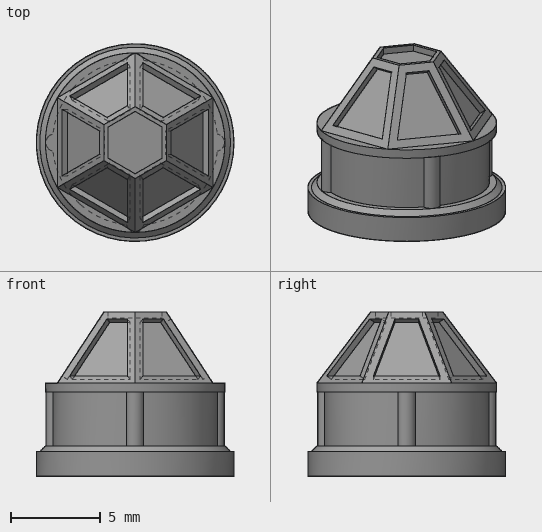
import cadquery as cq
import math

base_radius = 5.5
base_height = 1.4
base_chamfer_height = 0.3
base_rim_radius = 5.3
collar_radius = 4.99
body_radius = 4.6
body_height = 3.0
collar_height = 0.5

rib_count = 4
rib_radius = 0.48
rib_center_radius = 4.48

overall_height = 9.15
side_count = 6
crown_top_radius = 2.0
window_margin = 0.47
window_depth = 0.35
top_pocket_margin = 0.23
top_pocket_depth = 0.35

base_top = base_height + base_chamfer_height
collar_bottom = base_top + body_height
crown_bottom = collar_bottom + collar_height
crown_height = overall_height - crown_bottom
side_angle = 360 / side_count
apothem_ratio = math.cos(math.pi / side_count)


def hexagon(radius, height):
    """Closed hexagon with two corners on the Y axis."""
    return (
        cq.Workplane("XY", origin=(0, 0, height))
        .transformed(rotate=(0, 0, side_angle / 2))
        .polygon(side_count, 2 * radius)
    )


def round_core():
    """Base, chamfered shoulder, body and collar as one turned profile."""
    profile = [
        (0, 0),
        (base_radius, 0),
        (base_radius, base_height),
        (base_rim_radius, base_height),
        (collar_radius, base_top),
        (body_radius, base_top),
        (body_radius, collar_bottom),
        (collar_radius, collar_bottom),
        (collar_radius, crown_bottom),
        (0, crown_bottom),
    ]
    return cq.Workplane("XZ").polyline(profile).close().revolve(360, (0, 0, 0), (0, 1, 0))


def ribs():
    return (
        cq.Workplane("XY", origin=(0, 0, base_top))
        .polarArray(rib_center_radius, 0, 360, rib_count)
        .circle(rib_radius)
        .extrude(body_height)
    )


def crown():
    lower = hexagon(collar_radius, crown_bottom)
    return (
        lower.workplane(offset=crown_height)
        .polygon(side_count, 2 * crown_top_radius)
        .loft(ruled=True, combine=True)
    )


def window_cutter():
    """Trapezoid sunk square to the sloping face on the +X side."""
    lower_apothem = collar_radius * apothem_ratio
    upper_apothem = crown_top_radius * apothem_ratio
    run = lower_apothem - upper_apothem
    slant = math.hypot(run, crown_height)
    face = cq.Plane(
        origin=(lower_apothem, 0, crown_bottom),
        xDir=(0, 1, 0),
        normal=(crown_height, 0, run),
    )
    half_lower = collar_radius / 2
    half_upper = crown_top_radius / 2
    outline = [
        (-half_lower, 0),
        (half_lower, 0),
        (half_upper, slant),
        (-half_upper, slant),
    ]
    return (
        cq.Workplane(face)
        .polyline(outline)
        .close()
        .offset2D(-window_margin)
        .extrude(-window_depth)
    )


def top_pocket_cutter():
    pocket_radius = crown_top_radius - top_pocket_margin / apothem_ratio
    return hexagon(pocket_radius, overall_height).extrude(-top_pocket_depth)


result = round_core().union(ribs()).union(crown()).cut(top_pocket_cutter())
window = window_cutter()
for side in range(side_count):
    result = result.cut(window.rotate((0, 0, 0), (0, 0, 1), side * side_angle))